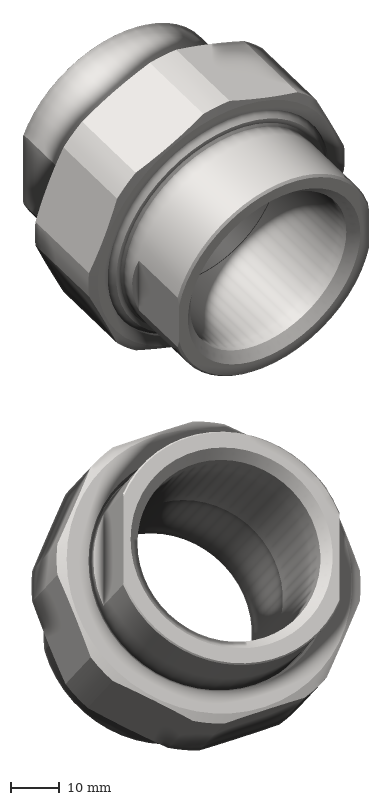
import cadquery as cq
import math


half_length = 28.0
pipe_radius = 50.0 / 2
cut_margin = 5.0

nut_start = -11.5
nut_length = 20.0
nut_end = nut_start + nut_length
nut_across_flats = 62.0
nut_corner_radius = 64.7 / 2
nut_sides = 8
nut_face_radius = 60.8 / 2
nut_chamfer_angle = 18.0
nut_lip_thickness = 3.5
nut_lip_radius = 50.5 / 2
nut_lip_chamfer = 0.5
thread_radius = 55.85 / 2

tail_bore_radius = 38.95 / 2
tail_mouth_radius = 43.0 / 2
tail_mouth_angle = 45.0
tail_edge_chamfer = 0.3
collar_start = nut_start + nut_lip_thickness
collar_width = 10.0
joint_face = collar_start + collar_width
tail_across_flats = 46.0
tail_flat_length = 15.0
tail_flat_end_angle = 15.0

body_bore_radius = 39.4 / 2
body_mouth_radius = 43.5 / 2
body_mouth_angle = 45.0
body_edge_chamfer = 0.5
thread_end = 9.6
thread_tip_radius = 53.1 / 2
thread_chamfer_angle = 36.0
root_radius = 51.0 / 2
root_length = 0.6
body_across_flats = 48.0
body_flat_length = 14.0
body_flat_end_angle = 45.0


def revolve_about_x(points):
    """Solid of revolution about X from (x, radius) points."""
    return cq.Workplane("XY").polyline(points).close().revolve(360, (0, 0, 0), (1, 0, 0))


def cut_wrench_flats(pipe, end_x, inward, flat_length, across_flats, end_angle):
    """Cut two opposite flats in from a pipe end.

    inward is the X direction (1 or -1) from the end into the pipe; each flat ends on a
    sloping plane that leans end_angle degrees from square.
    """
    flat_y = across_flats / 2
    outer_y = pipe_radius + cut_margin
    flat_end = end_x + inward * flat_length
    run_out = (outer_y - flat_y) * math.tan(math.radians(end_angle))
    outside = end_x - inward * cut_margin
    for side in (-1, 1):
        cutter = (
            cq.Workplane("XY")
            .moveTo(outside, side * flat_y)
            .lineTo(flat_end, side * flat_y)
            .lineTo(flat_end + inward * run_out, side * outer_y)
            .lineTo(outside, side * outer_y)
            .close()
            .extrude(pipe_radius, both=True)
        )
        pipe = pipe.cut(cutter)
    return pipe


def make_nut():
    octagon_diameter = nut_across_flats / math.cos(math.pi / nut_sides)
    octagon = (
        cq.Workplane("YZ", origin=(nut_start, 0, 0))
        .polygon(nut_sides, octagon_diameter)
        .extrude(nut_length)
    )
    chamfer_length = (nut_corner_radius - nut_face_radius) * math.tan(math.radians(nut_chamfer_angle))
    envelope = revolve_about_x([
        (nut_start, 0),
        (nut_start, nut_face_radius),
        (nut_start + chamfer_length, nut_corner_radius),
        (nut_end - chamfer_length, nut_corner_radius),
        (nut_end, nut_face_radius),
        (nut_end, 0),
    ])
    opening = revolve_about_x([
        (nut_start, 0),
        (nut_start, nut_lip_radius + nut_lip_chamfer),
        (nut_start + nut_lip_chamfer, nut_lip_radius),
        (collar_start, nut_lip_radius),
        (collar_start, thread_radius),
        (nut_end, thread_radius),
        (nut_end, 0),
    ])
    return octagon.intersect(envelope).cut(opening)


def make_tail_piece():
    mouth_depth = (tail_mouth_radius - tail_bore_radius) / math.tan(math.radians(tail_mouth_angle))
    pipe = revolve_about_x([
        (-half_length, tail_mouth_radius),
        (-half_length, pipe_radius - tail_edge_chamfer),
        (-half_length + tail_edge_chamfer, pipe_radius),
        (collar_start, pipe_radius),
        (collar_start, thread_radius),
        (joint_face, thread_radius),
        (joint_face, tail_bore_radius),
        (-half_length + mouth_depth, tail_bore_radius),
    ])
    return cut_wrench_flats(
        pipe, -half_length, 1, tail_flat_length, tail_across_flats, tail_flat_end_angle
    )


def make_threaded_body():
    mouth_depth = (body_mouth_radius - body_bore_radius) / math.tan(math.radians(body_mouth_angle))
    thread_chamfer_length = (thread_radius - thread_tip_radius) / math.tan(math.radians(thread_chamfer_angle))
    pipe = revolve_about_x([
        (joint_face, body_bore_radius),
        (joint_face, thread_radius),
        (thread_end - thread_chamfer_length, thread_radius),
        (thread_end, thread_tip_radius),
        (thread_end, root_radius),
        (thread_end + root_length, pipe_radius),
        (half_length - body_edge_chamfer, pipe_radius),
        (half_length, pipe_radius - body_edge_chamfer),
        (half_length, body_mouth_radius),
        (half_length - mouth_depth, body_bore_radius),
    ])
    return cut_wrench_flats(
        pipe, half_length, -1, body_flat_length, body_across_flats, body_flat_end_angle
    )


nut = make_nut()
tail_piece = make_tail_piece()
threaded_body = make_threaded_body()

result = cq.Compound.makeCompound([nut.val(), tail_piece.val(), threaded_body.val()])